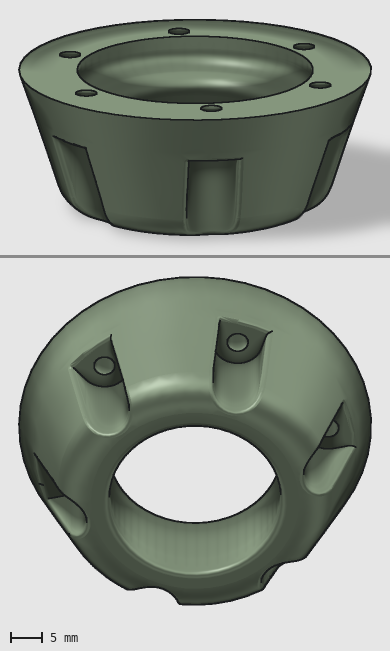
import cadquery as cq
import math

height = 22.2
top_radius = 27.9
cone_angle = 18.4
bottom_round = 5.6

bore_radius = 27.2 / 2
recess_radius = 37.35 / 2
recess_wall_depth = 2.0
curve_drop = 6.25
bore_edge_round = 1.0

screw_count = 6
first_screw_angle = 90
screw_circle_radius = 21.55
screw_hole_diameter = 3.3
pocket_radius = 3.9
pocket_ceiling = 14.55
pocket_rim_round = 0.7


def outer_body():
    """Cone tapering downwards, with its bottom edge rounded."""
    foot_radius = top_radius - height * math.tan(math.radians(cone_angle))
    profile = (
        cq.Workplane("XZ")
        .polyline([(0, 0), (foot_radius, 0), (top_radius, height), (0, height)])
        .close()
    )
    cone = profile.revolve(360, (0, 0), (0, 1))
    return cone.faces("<Z").edges().fillet(bottom_round)


def pockets():
    """Round-bottomed vertical slots, open outwards and downwards."""
    slot = (
        cq.Workplane("XY")
        .center(screw_circle_radius, 0)
        .circle(pocket_radius)
        .extrude(pocket_ceiling)
    )
    opening = cq.Workplane("XY").box(
        top_radius, 2 * pocket_radius, pocket_ceiling, centered=(False, True, False)
    )
    slot = slot.union(opening.translate((screw_circle_radius, 0, 0)))
    return [
        slot.rotate((0, 0, 0), (0, 0, 1), first_screw_angle + i * 360 / screw_count)
        for i in range(screw_count)
    ]


def round_pocket_rims(body):
    """Round every edge where a pocket wall meets the outer skin."""
    skin_edges = body.faces("%CONE or %TORUS").edges().vals()
    pocket_edges = body.faces("(%PLANE or %CYLINDER) and (not >Z) and (not <Z)").edges().vals()
    rim = [edge for edge in pocket_edges if any(edge.isSame(other) for other in skin_edges)]
    return body.newObject(rim).fillet(pocket_rim_round)


def stepped_bore():
    """Recess, S-shaped shoulder of two equal tangent arcs, then the through bore."""
    arc_width = (recess_radius - bore_radius) / 2
    arc_drop = curve_drop / 2
    half_sweep = math.atan2(arc_width, arc_drop)
    arc_radius = arc_drop / math.sin(2 * half_sweep)
    sag_width = arc_radius * (1 - math.cos(half_sweep))
    sag_drop = arc_radius * math.sin(half_sweep)

    curve_top = height - recess_wall_depth
    curve_bottom = curve_top - curve_drop
    shoulder_rim = (recess_radius, curve_top)
    middle = (bore_radius + arc_width, curve_top - arc_drop)
    profile = (
        cq.Workplane("XZ")
        .moveTo(0, 0)
        .lineTo(bore_radius, 0)
        .lineTo(bore_radius, curve_bottom)
        .threePointArc((bore_radius + sag_width, curve_bottom + sag_drop), middle)
        .threePointArc((recess_radius - sag_width, curve_top - sag_drop), shoulder_rim)
        .lineTo(recess_radius, height)
        .lineTo(0, height)
        .close()
    )
    return profile.revolve(360, (0, 0), (0, 1))


def screw_holes():
    return (
        cq.Workplane("XY")
        .polarArray(screw_circle_radius, first_screw_angle, 360, screw_count)
        .circle(screw_hole_diameter / 2)
        .extrude(height)
    )


body = outer_body()
for pocket in pockets():
    body = body.cut(pocket)
body = round_pocket_rims(body)
body = body.cut(stepped_bore()).cut(screw_holes())
lower_bore_edge = body.faces("<Z").edges(cq.selectors.RadiusNthSelector(0))
result = lower_bore_edge.fillet(bore_edge_round)